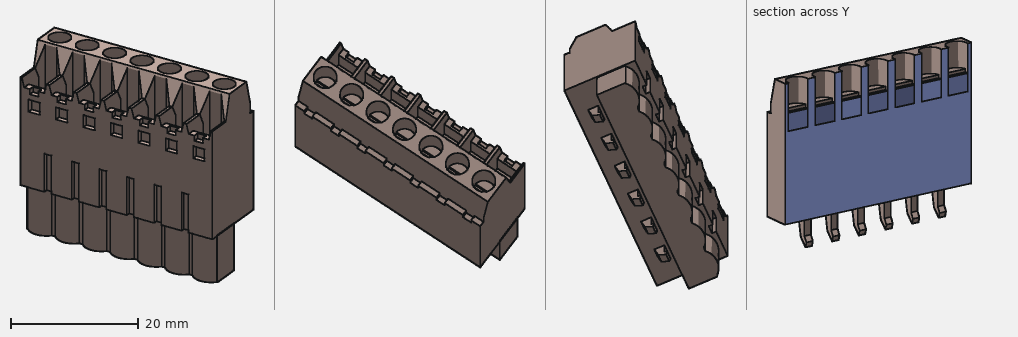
import cadquery as cq


poles = 7
length = 35.55
pitch = length / poles
pole_centres = [(i - (poles - 1) / 2) * pitch for i in range(poles)]
pole_borders = [x + pitch / 2 for x in pole_centres[:-1]]

depth = 12.2
height = 31.8
base_z = 8.35
shoulder_z = 27.38
crown_front_y = 5.1
crown_rear_y = 10.1
shoulder_front_y = 3.95
rear_step_y = 11.27
rear_step_z = 25.75

skirt_end_gap = 0.15
skirt_rear_y = 6.65
skirt_flat_y = 1.7
skirt_front_y = 0.7
scallop_width = 4.48

hook_width = 1.25
hook_front_y = 8.35
hook_knee = (9.42, 4.9)
hook_tip = (8.07, 3.55)
hook_nose = (7.82, 4.45)
hook_throat_z = 5.37

entry_back_y = 4.98
entry_back_width = 2.15
entry_width = 4.55
well_width = 3.7
lip_z = 25.75
lip_depth = 1.3

notch_width = 1.55
notch_height = 0.92
notch_depth = depth - rear_step_y
window_width = 2.1
window_bottom_z = 21.7
window_top_z = 23.83
window_depth = 0.92

front_groove_width = 1.28
front_groove_top_z = 15.08

screw_diameter = 3.65
screw_y = (crown_front_y + crown_rear_y) / 2
screw_top_z = shoulder_z
screw_length = 3.55
screw_slot_width = 0.57
screw_slot_depth = 0.55


def block(x_centre, width, y_min, y_max, z_min, z_max):
    """Upright box, centred on x_centre along X."""
    return (
        cq.Workplane("XY")
        .box(width, y_max - y_min, z_max - z_min, centered=(True, False, False))
        .translate((x_centre, y_min, z_min))
    )


def extrude_along_row(points, width, x_centre=0):
    """Extrude a closed (Y, Z) outline along X, centred on x_centre."""
    return cq.Workplane("YZ").polyline(points).close().extrude(width / 2, both=True).translate((x_centre, 0, 0))


def housing_shell():
    outline = [
        (0, base_z),
        (depth, base_z),
        (depth, rear_step_z),
        (rear_step_y, rear_step_z),
        (rear_step_y, shoulder_z),
        (crown_rear_y, height),
        (crown_front_y, height),
        (shoulder_front_y, shoulder_z),
        (0, shoulder_z),
    ]
    return extrude_along_row(outline, length)


def plug_skirt():
    """Skirt with one shallow round scallop per pole along its front."""
    end_x = length / 2 - skirt_end_gap
    outline = cq.Workplane("XY").moveTo(-end_x, skirt_rear_y).lineTo(-end_x, skirt_flat_y)
    for x in pole_centres:
        outline = outline.lineTo(x - scallop_width / 2, skirt_flat_y)
        outline = outline.threePointArc((x, skirt_front_y), (x + scallop_width / 2, skirt_flat_y))
    outline = outline.lineTo(end_x, skirt_flat_y).lineTo(end_x, skirt_rear_y).close()
    return outline.extrude(base_z)


def latch_hook(x):
    outline = [
        (crown_rear_y, base_z),
        hook_knee,
        hook_tip,
        hook_nose,
        (hook_front_y, hook_throat_z),
        (hook_front_y, base_z),
    ]
    return extrude_along_row(outline, hook_width, x)


def wire_entry(x):
    """Open funnel with a narrow back wall, its floor dropping into a well behind the lip."""
    plan = (
        cq.Workplane("XY")
        .polyline([
            (-entry_width / 2, 0),
            (-entry_width / 2, shoulder_front_y),
            (-entry_back_width / 2, entry_back_y),
            (entry_back_width / 2, entry_back_y),
            (entry_width / 2, shoulder_front_y),
            (entry_width / 2, 0),
        ])
        .close()
        .extrude(height)
    )
    channel = (
        cq.Workplane("XZ")
        .polyline([
            (-well_width / 2, lip_z),
            (-entry_width / 2, shoulder_z),
            (-entry_width / 2, height),
            (entry_width / 2, height),
            (entry_width / 2, shoulder_z),
            (well_width / 2, lip_z),
        ])
        .close()
        .extrude(-entry_back_y)
    )
    well = block(0, well_width, lip_depth, entry_back_y, window_bottom_z, lip_z)
    return channel.union(well).intersect(plan).translate((x, 0, 0))


def make_housing():
    body = housing_shell().union(plug_skirt())
    for x in pole_borders:
        body = body.union(latch_hook(x))
        body = body.cut(block(x, front_groove_width, 0, skirt_front_y, base_z, front_groove_top_z))
    for x in pole_centres:
        body = body.cut(wire_entry(x))
        body = body.cut(block(x, notch_width, 0, notch_depth, lip_z - notch_height, lip_z))
        body = body.cut(block(x, window_width, 0, window_depth, window_bottom_z, window_top_z))
        body = body.cut(block(x, notch_width, rear_step_y, depth, rear_step_z - notch_height, rear_step_z))
        body = body.cut(screw_hole(x))
    return body


def screw_cylinder(x, z_top):
    """Cylinder on a screw axis, from the foot of the screw up to z_top."""
    foot_z = screw_top_z - screw_length
    return cq.Workplane("XY").circle(screw_diameter / 2).extrude(z_top - foot_z).translate((x, screw_y, foot_z))


def screw_hole(x):
    return screw_cylinder(x, height)


def make_screw(x):
    slot = block(
        x,
        screw_diameter,
        screw_y - screw_slot_width / 2,
        screw_y + screw_slot_width / 2,
        screw_top_z - screw_slot_depth,
        screw_top_z,
    )
    return screw_cylinder(x, screw_top_z).cut(slot)


housing = make_housing()
screws = [make_screw(x) for x in pole_centres]

result = cq.Compound.makeCompound([housing.val(), *[screw.val() for screw in screws]])